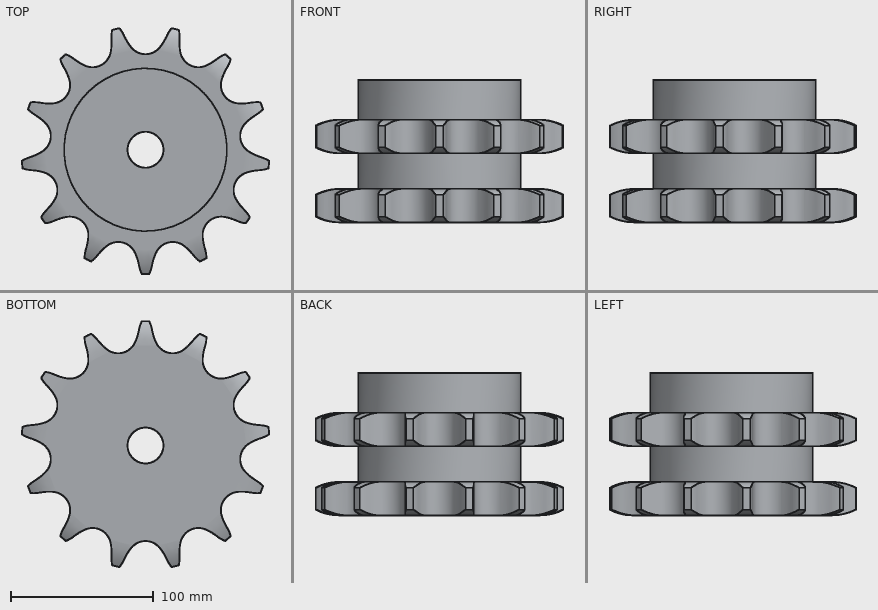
import cadquery as cq
import math

tooth_count = 13
chain_pitch = 38.2
roller_diameter = 25.3
tip_radius = 87.0
tooth_width = 23.6
row_spacing = 48.4
total_height = 100.0
hub_diameter = 114.0
bore_diameter = 25.0
bevel_start_radius = 70.0
bevel_depth = 4.2

seat_ratio = 0.505
working_center_ratio = 0.8
topping_center_ratio = 1.4
seat_end_angle = math.radians(35 + 60 / tooth_count)
working_angle = math.radians(18 - 56 / tooth_count)
runout_angle = math.radians(110)
half_pitch_angle = math.pi / tooth_count
pitch_radius = chain_pitch / 2 / math.sin(half_pitch_angle)
seat_radius = seat_ratio * roller_diameter
working_radius = seat_radius + working_center_ratio * roller_diameter


def polar(center, radius, angle):
    """Point at a given radius and angle around a center."""
    return (center[0] + radius * math.cos(angle), center[1] + radius * math.sin(angle))


def tooth_gap():
    """Space between two teeth, symmetric about the +Y axis."""
    seat_center = (0, pitch_radius)
    seat_end = polar(seat_center, seat_radius, -seat_end_angle)
    flank_angle = working_angle - seat_end_angle
    working_center = polar(seat_end, working_radius, math.pi - seat_end_angle)
    working_middle = polar(working_center, working_radius, working_angle / 2 - seat_end_angle)
    working_end = polar(working_center, working_radius, flank_angle)

    topping_center = (
        topping_center_ratio * roller_diameter * math.cos(half_pitch_angle),
        pitch_radius - topping_center_ratio * roller_diameter * math.sin(half_pitch_angle),
    )
    to_flank = (working_end[0] - topping_center[0], working_end[1] - topping_center[1])
    topping_radius = -(to_flank[0] * math.cos(flank_angle) + to_flank[1] * math.sin(flank_angle))
    topping_start = polar(topping_center, topping_radius, math.pi + flank_angle)
    topping_end = polar(topping_center, topping_radius, runout_angle)
    topping_middle = polar(topping_center, topping_radius, (math.pi + flank_angle + runout_angle) / 2)

    def mirror(point):
        return (-point[0], point[1])

    return (
        cq.Workplane("XY")
        .moveTo(*topping_end)
        .threePointArc(topping_middle, topping_start)
        .lineTo(*working_end)
        .threePointArc(working_middle, seat_end)
        .threePointArc((0, pitch_radius - seat_radius), mirror(seat_end))
        .threePointArc(mirror(working_middle), mirror(working_end))
        .lineTo(*mirror(topping_start))
        .threePointArc(mirror(topping_middle), mirror(topping_end))
        .close()
        .extrude(tooth_width)
    )


def tooth_row():
    """One toothed disc with crowned tooth sides, standing on the XY plane."""
    run = tip_radius - bevel_start_radius
    crown_radius = (run**2 + bevel_depth**2) / (2 * bevel_depth)
    mid_radius = bevel_start_radius + run / 2
    mid_depth = crown_radius - math.sqrt(crown_radius**2 - (run / 2) ** 2)
    disc = (
        cq.Workplane("XZ")
        .lineTo(bevel_start_radius, 0)
        .threePointArc((mid_radius, mid_depth), (tip_radius, bevel_depth))
        .lineTo(tip_radius, tooth_width - bevel_depth)
        .threePointArc((mid_radius, tooth_width - mid_depth), (bevel_start_radius, tooth_width))
        .lineTo(0, tooth_width)
        .close()
        .revolve(360, (0, 0, 0), (0, 1, 0))
    )
    gap = tooth_gap()
    for index in range(tooth_count):
        disc = disc.cut(gap.rotate((0, 0, 0), (0, 0, 1), index * 360 / tooth_count))
    return disc


row = tooth_row()
hub = cq.Workplane("XY").circle(hub_diameter / 2).extrude(total_height)
bore = cq.Workplane("XY").circle(bore_diameter / 2).extrude(total_height)
result = hub.union(row).union(row.translate((0, 0, row_spacing))).cut(bore)